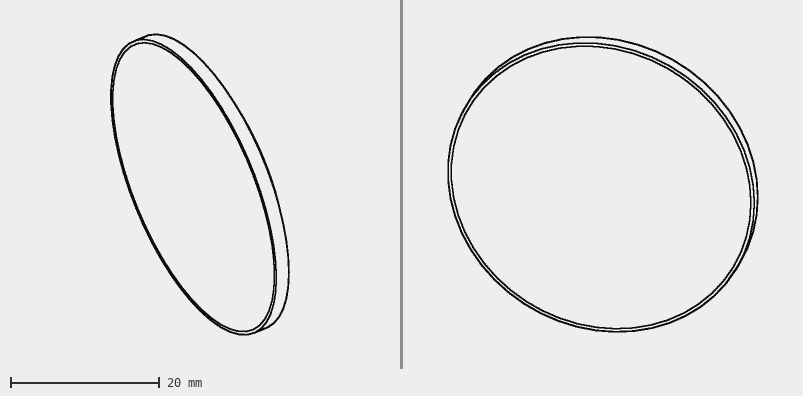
import cadquery as cq
import math

OUTER_DIAMETER = 42.4
TOTAL_DEPTH = 7.0
RIM_DEPTH = 2.0
WALL_THICKNESS = 2.0

outer_radius = OUTER_DIAMETER / 2
dome_height = TOTAL_DEPTH - RIM_DEPTH
dome_sphere_radius = (outer_radius**2 + dome_height**2) / (2 * dome_height)

hollow_sphere_radius = dome_sphere_radius - WALL_THICKNESS
sphere_center_y = TOTAL_DEPTH - dome_sphere_radius
hollow_apex_y = TOTAL_DEPTH - WALL_THICKNESS
hollow_edge_radius = math.sqrt(hollow_sphere_radius**2 - sphere_center_y**2)


def point_on_sphere(sphere_radius, radius):
    """Profile point of a dome sphere at the given distance from the Y axis."""
    return (radius, sphere_center_y + math.sqrt(sphere_radius**2 - radius**2))


def make_domed_cap():
    """Revolve the half section about the Y axis; the open side faces -Y."""
    dome_middle = point_on_sphere(dome_sphere_radius, outer_radius / 2)
    hollow_middle = point_on_sphere(hollow_sphere_radius, hollow_edge_radius / 2)
    half_section = (
        cq.Workplane("XY")
        .moveTo(hollow_edge_radius, 0)
        .lineTo(outer_radius, 0)
        .lineTo(outer_radius, RIM_DEPTH)
        .threePointArc(dome_middle, (0, TOTAL_DEPTH))
        .lineTo(0, hollow_apex_y)
        .threePointArc(hollow_middle, (hollow_edge_radius, 0))
        .close()
    )
    return half_section.revolve(360, (0, 0, 0), (0, 1, 0))


result = make_domed_cap()